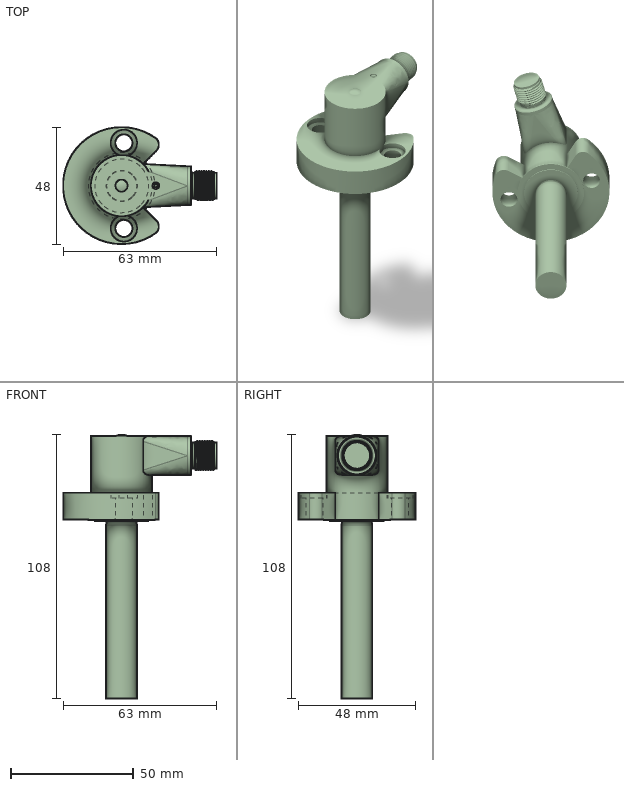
import cadquery as cq
import math

total_height = 108.0
housing_top = 107.5
flange_top = 84.2
flange_bottom = 73.2
rim_thickness = 0.6
neck_height = 0.6

rod_diameter = 12.7
rod_taper_height = 0.8
neck_diameter = 12.3
housing_diameter = 25.1
rim_diameter = 27.2
rim_step_diameter = 22.0

flange_diameter = 48.0
notch_half_angle = 45.0
notch_tip_radius = 3.5
bolt_x = 1.0
bolt_y = 17.5
bolt_diameter = 6.9
counterbore_diameter = 10.8
counterbore_depth = 2.2

dome_diameter = 5.0
indicator_x = 14.0
indicator_diameter = 2.8
indicator_pin_diameter = 1.4
indicator_depth = 0.3

collar_diameter = 16.0
arm_axis_z = housing_top - collar_diameter / 2
arm_start_x = 7.6
arm_start_half_width = 9.0
arm_corner_radius = 1.7
collar_start_x = 26.9
collar_end_x = 28.6
collar_chamfer = 0.3

connector_end_x = 39.0
connector_diameter = 10.7
seat_diameter = 10.9
seat_length = 0.3
thread_core_diameter = 11.2
thread_diameter = 12.1
thread_start_x = 30.0
thread_end_x = 38.0
thread_pitch = 1.0
thread_overlap = 0.1
thread_root_share = 0.9
thread_lead_in = 0.2


def cylinder(diameter, bottom, top):
    """Vertical cylinder on the main axis."""
    return cq.Workplane("XY").workplane(offset=bottom).circle(diameter / 2).extrude(top - bottom)


def cone(bottom_diameter, top_diameter, bottom, top):
    """Vertical truncated cone on the main axis."""
    base = cq.Workplane("XY").workplane(offset=bottom).circle(bottom_diameter / 2)
    return base.workplane(offset=top - bottom).circle(top_diameter / 2).loft()


def arm_cylinder(diameter, start_x, end_x):
    """Cylinder on the arm axis."""
    plane = cq.Workplane("YZ", origin=(start_x, 0, arm_axis_z))
    return plane.circle(diameter / 2).extrude(end_x - start_x)


def make_rod():
    """Plain rod that tapers up to a slightly thinner neck under the housing rim."""
    neck_top = flange_bottom - rim_thickness
    taper_top = neck_top - neck_height
    taper_bottom = taper_top - rod_taper_height
    return (
        cylinder(rod_diameter, 0, taper_bottom)
        .union(cone(rod_diameter, neck_diameter, taper_bottom, taper_top))
        .union(cylinder(neck_diameter, taper_top, neck_top))
    )


def make_housing():
    """Round housing that runs down through the flange and ends in a two-step rim below it."""
    rim_bottom = flange_bottom - rim_thickness
    step_z = flange_bottom - rim_thickness / 2
    return (
        cylinder(housing_diameter, step_z, housing_top)
        .union(cylinder(rim_diameter, step_z, flange_bottom))
        .union(cylinder(rim_step_diameter, rim_bottom, step_z))
    )


def make_flange():
    """Disc with a V notch towards +X, rounded notch tips and two counterbored holes."""
    reach = flange_diameter
    spread = reach * math.tan(math.radians(notch_half_angle))
    notch = (
        cq.Workplane("XY").workplane(offset=flange_bottom)
        .polyline([(0, 0), (reach, -spread), (reach, spread)]).close()
        .extrude(flange_top - flange_bottom)
    )
    flange = cylinder(flange_diameter, flange_bottom, flange_top).cut(notch)
    flange = flange.edges("|Z and (>Y or >X)").fillet(notch_tip_radius)
    return (
        flange.faces(">Z").workplane(origin=(0, 0, flange_top))
        .pushPoints([(bolt_x, bolt_y), (bolt_x, -bolt_y)])
        .cboreHole(bolt_diameter, counterbore_diameter, counterbore_depth)
    )


def make_dome():
    """Shallow spherical cap centred on the housing, sunk a little into it."""
    rise = total_height - housing_top
    half = dome_diameter / 2
    profile = (
        cq.Workplane("XZ").moveTo(0, housing_top - rise).lineTo(half, housing_top - rise)
        .lineTo(half, housing_top)
    )
    sphere_radius = (half**2 + rise**2) / (2 * rise)
    mid_angle = math.asin(half / sphere_radius) / 2
    mid_drop = sphere_radius * (1 - math.cos(mid_angle))
    mid = (sphere_radius * math.sin(mid_angle), total_height - mid_drop)
    return profile.threePointArc(mid, (0, total_height)).close().revolve(360, (0, 0), (0, 1))


def make_arm_transition():
    """Blend from a rounded rectangle to the collar circle: four flat triangles and four ruled corners."""
    radius = collar_diameter / 2
    flat_y = arm_start_half_width - arm_corner_radius
    flat_z = radius - arm_corner_radius

    def start_point(y, z):
        return cq.Vector(arm_start_x, y, arm_axis_z + z)

    def collar_point(angle):
        angle = math.radians(angle)
        return cq.Vector(collar_start_x, radius * math.cos(angle), arm_axis_z + radius * math.sin(angle))

    def corner_point(quarter, angle):
        middle = math.radians(90 * quarter + 45)
        center_y = math.copysign(flat_y, math.cos(middle))
        center_z = math.copysign(flat_z, math.sin(middle))
        angle = math.radians(90 * quarter + angle)
        return start_point(
            center_y + arm_corner_radius * math.cos(angle),
            center_z + arm_corner_radius * math.sin(angle),
        )

    faces = []
    start_edges = []
    collar_edges = []
    for quarter in range(4):
        corner = cq.Edge.makeThreePointArc(*[corner_point(quarter, a) for a in (0, 45, 90)])
        arc = cq.Edge.makeThreePointArc(*[collar_point(90 * quarter + a) for a in (0, 45, 90)])
        flat_start = corner_point(quarter, 90)
        flat_end = corner_point((quarter + 1) % 4, 0)
        triangle = cq.Wire.makePolygon([flat_start, flat_end, collar_point(90 * quarter + 90)], close=True)
        faces.append(cq.Face.makeRuledSurface(corner, arc))
        faces.append(cq.Face.makeFromWires(triangle))
        start_edges += [corner, cq.Edge.makeLine(flat_start, flat_end)]
        collar_edges.append(arc)
    faces.append(cq.Face.makeFromWires(cq.Wire.assembleEdges(start_edges)))
    faces.append(cq.Face.makeFromWires(cq.Wire.assembleEdges(collar_edges)))
    return cq.Workplane(cq.Solid.makeSolid(cq.Shell.makeShell(faces)))


def make_thread():
    """Right-handed helical V ridge wound around the thread core."""
    root_radius = thread_core_diameter / 2 - thread_overlap
    crest_radius = thread_diameter / 2
    half_root = thread_root_share * thread_pitch / 2
    helix_length = thread_end_x - thread_start_x - 2 * half_root
    helix = cq.Wire.makeHelix(thread_pitch, helix_length, root_radius)
    ridge = (
        cq.Workplane("XZ")
        .polyline([(root_radius, -half_root), (crest_radius, 0), (root_radius, half_root)])
        .close().sweep(cq.Workplane(helix), isFrenet=True)
    )
    lying_ridge = ridge.rotate((0, 0, 0), (0, 1, 0), 90)
    return lying_ridge.translate((thread_start_x + half_root, 0, arm_axis_z))


def make_connector():
    """Collar, seat ring, plain neck and threaded core, one behind the other."""
    collar = arm_cylinder(collar_diameter, collar_start_x, collar_end_x).faces(">X").chamfer(collar_chamfer)
    seat = arm_cylinder(seat_diameter, collar_end_x, collar_end_x + seat_length)
    barrel = arm_cylinder(connector_diameter, collar_end_x, connector_end_x)
    core = arm_cylinder(thread_core_diameter, thread_start_x, thread_end_x)
    core = core.faces("<X or >X").chamfer(thread_lead_in)
    return collar.union(seat).union(barrel).union(core).union(make_thread())


def make_indicator_groove():
    """Ring groove around the indicator on top of the arm."""
    return (
        cq.Workplane("XY", origin=(indicator_x, 0, housing_top))
        .circle(indicator_diameter / 2).circle(indicator_pin_diameter / 2).extrude(-indicator_depth)
    )


result = (
    make_rod()
    .union(make_flange())
    .union(make_housing())
    .union(make_dome())
    .union(make_arm_transition())
    .union(make_connector())
    .cut(make_indicator_groove())
)